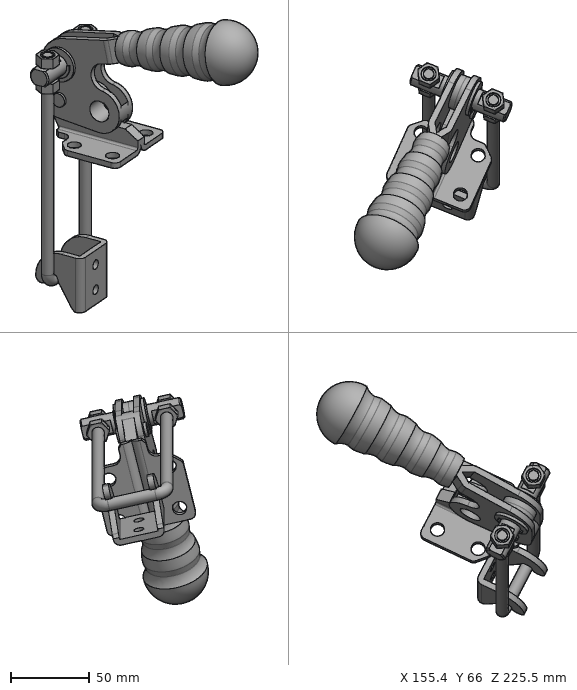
import cadquery as cq
import math


sheet = 4.0
lever_gap = 8.0
lever_half = lever_gap / 2 + sheet

pin_x = 14.0
bar_z = 168.7
rivet_z = 143.5
bolt_z = 19.0
lobe_radius = 13.5

eye_x = 44.0
eye_z = 142.5
eye_radius = 15.0
eye_hole_radius = 7.2
heel_radius = 20.0
throat_radius = 9.7
heel_edge_z = 150.2
arm_above = 8.1
arm_below = 8.3
tang_length = 11.3
tang_half = 4.0
bend_start = -9.5
taper_start = -6.3
taper_half = 7.2
arm_bend_radius = 6.8
taper_end = -1.0
gap_taper_start = -9.5
gap_tip = -2.7

grip_angle = 12.2
grip_x = 58.0
grip_z = 187.8
ring_count = 4
ring_pitch = 19.6
ring_lead = 1.4
ring_radius = 10.5
ring_growth = 2.37
ring_crest = 8.0
ring_bulge = 1.1
bulge_share = 0.7
ring_end = 12.5
groove_rise = 0.2
groove_share = 0.25
ball_radius = 21.2
ball_centre = 78.0

bar_radius = 7.0
bar_length = 66.0
bar_chamfer = 1.0
flat_height = 5.5
flat_start = 13.5
hub_radius = 11.5
washer_radius = 11.7
washer_thickness = 2.0
clip_radius = 9.0
clip_thickness = 1.0

rivet_radius = 4.7
rivet_length = 19.8

rod_radius = 4.0
rod_y = 22.5
bend_radius = 7.0
nut_flats = 13.0
nut_height = 7.0
nut_chamfer_radius = 6.5
nut_chamfer_height = 0.7
recess_outer = 4.7
recess_inner = 3.4
recess_depth = 1.4

web_bottom = 116.5
flange_sheet = lever_gap / 2
flange_half = 29.0
base_right = 70.5
base_left = 10.8
web_lobe_x = 33.8
web_step_z = 132.8
web_nose_x = 60.9
web_nose_z = 126.7
base_bend = 1.5
base_hole_radius = 4.5
base_hole_y = 19.8
base_hole_x = (32.5, 61.5)
base_corner = 4.3
flange_rear_x = 23.7
flange_rear_y = 20.7
flange_bevel_x = 31.3
notch_y = 14.7
notch_x = 18.0
foot_y = 9.0
foot_bevel_x = 13.5
foot_bevel_y = 6.8

catch_right = 36.0
catch_top = 38.5
catch_half = 16.7
catch_tip_radius = 4.5
catch_slot_radius = 3.8
catch_foot_x = 28.5
catch_foot_z = 2.3
catch_foot_end = 30.7
catch_bend = 4.5
catch_hole_radius = 3.2
catch_hole_z = (10.5, 28.5)


def polar(centre, radius, degrees):
    """Point on a circle at an angle measured from +X."""
    a = math.radians(degrees)
    return (centre[0] + radius * math.cos(a), centre[1] + radius * math.sin(a))


def bearing(start, end):
    """Angle of the direction from start to end."""
    return math.degrees(math.atan2(end[1] - start[1], end[0] - start[0]))


def tangent_angle(point, centre, radius, side):
    """Angle on a circle where a line from an outside point touches it."""
    spread = math.degrees(math.acos(radius / math.dist(point, centre)))
    return bearing(centre, point) + side * spread


def arc_to(outline, centre, radius, start, end):
    """Extend an outline by the arc between two angles of a circle."""
    return outline.threePointArc(polar(centre, radius, (start + end) / 2), polar(centre, radius, end))


def cross_cylinder(x, z, radius, length):
    """Cylinder along Y, centred on the symmetry plane."""
    return cq.Workplane("XZ", origin=(x, 0, z)).circle(radius).extrude(length / 2, both=True)


def along_grip(shape):
    """Move a shape built along +X from the origin onto the tilted grip axis."""
    return shape.rotate((0, 0, 0), (0, 1, 0), -grip_angle).translate((grip_x, 0, grip_z))


def mirrored(shape):
    return shape.union(shape.mirror("XZ"))


rivet = (pin_x, rivet_z)
eye = (eye_x, eye_z)
normal_angle = 90 + grip_angle


def grip_point(distance, offset):
    """Point in the XZ plane given along and across the grip axis."""
    return polar(polar((grip_x, grip_z), distance, grip_angle), offset, normal_angle)


def make_lever():
    slope = math.radians(grip_angle)
    heel_drop = (heel_radius - grip_x) * math.tan(slope)
    heel = (heel_radius, grip_z + heel_drop + (arm_above - heel_radius) / math.cos(slope))

    throat_offset = -(arm_below + throat_radius)
    foot = grip_point(0, throat_offset)
    to_eye = (eye[0] - foot[0], eye[1] - foot[1])
    along = to_eye[0] * math.cos(slope) + to_eye[1] * math.sin(slope)
    across = to_eye[1] * math.cos(slope) - to_eye[0] * math.sin(slope)
    reach = math.sqrt((eye_radius + throat_radius) ** 2 - across ** 2)
    throat = grip_point(along + reach, throat_offset)
    to_throat = bearing(eye, throat)

    heel_edge = (0, heel_edge_z)
    rear_angle = tangent_angle(heel_edge, rivet, lobe_radius, 1) % 360
    centres = math.dist(rivet, eye)
    under_angle = 270 + bearing(rivet, eye)
    under_angle -= math.degrees(math.asin((eye_radius - lobe_radius) / centres))

    outline = cq.Workplane("XZ").moveTo(*heel_edge).lineTo(0, heel[1])
    outline = arc_to(outline, heel, heel_radius, 180, normal_angle)
    outline = outline.lineTo(*grip_point(tang_length, arm_above))
    outline = outline.lineTo(*grip_point(tang_length, -arm_below))
    outline = outline.lineTo(*polar(throat, throat_radius, normal_angle))
    outline = arc_to(outline, throat, throat_radius, normal_angle, to_throat + 180)
    outline = arc_to(outline, eye, eye_radius, to_throat, under_angle - 360)
    outline = outline.lineTo(*polar(rivet, lobe_radius, under_angle))
    outline = arc_to(outline, rivet, lobe_radius, under_angle, rear_angle)
    lever = outline.close().extrude(lever_half, both=True)

    far = 2 * grip_x
    gap = (
        cq.Workplane("XY")
        .polyline([(-far, -lever_gap / 2), (gap_taper_start, -lever_gap / 2), (gap_tip, 0),
                   (gap_taper_start, lever_gap / 2), (-far, lever_gap / 2)])
        .close().extrude(arm_below + arm_above, both=True)
    )
    lower_gap = cq.Workplane("XY").box(far, lever_gap, bar_z, centered=(True, True, False))
    taper = mirrored(
        cq.Workplane("XY")
        .moveTo(tang_length, lever_half).lineTo(bend_start, lever_half)
        .radiusArc((taper_start, taper_half), arm_bend_radius)
        .lineTo(taper_end, tang_half).lineTo(tang_length, tang_half)
        .close().extrude(arm_below + arm_above, both=True)
    )
    eye_hole = cross_cylinder(eye_x, eye_z, eye_hole_radius, 2 * lever_half)
    return lever.cut(along_grip(gap)).cut(lower_gap).cut(along_grip(taper)).cut(eye_hole)


def make_grip():
    outline = cq.Workplane("XY").moveTo(0, 0).lineTo(0, ring_radius)
    for ring in range(ring_count):
        start = ring * ring_pitch - ring_lead
        radius = ring_radius + ring * ring_growth
        crest = radius + ring_bulge
        outline = outline.threePointArc(
            (start + ring_crest / 2, radius + bulge_share * ring_bulge), (start + ring_crest, crest))
        groove = radius + groove_rise
        outline = outline.lineTo(start + ring_end, groove)
        next_start = start + ring_pitch
        next_radius = radius + ring_growth
        if ring == ring_count - 1:
            next_radius = math.sqrt(ball_radius ** 2 - (ball_centre - next_start) ** 2)
        outline = outline.threePointArc(
            ((start + ring_end + next_start) / 2, groove + groove_share * (next_radius - groove)),
            (next_start, next_radius))
    outline = outline.threePointArc(
        polar((ball_centre, 0), ball_radius, 45), (ball_centre + ball_radius, 0))
    return along_grip(outline.close().revolve(360, (0, 0, 0), (1, 0, 0)))


def make_crossbar():
    bar = cross_cylinder(pin_x, bar_z, bar_radius, bar_length).faces("<Y or >Y").chamfer(bar_chamfer)
    flat_length = bar_length / 2 - flat_start
    flat = cq.Workplane("XY").box(2 * bar_radius, flat_length, bar_radius, centered=(True, False, False))
    for level in (flat_height, -flat_height - bar_radius):
        bar = bar.cut(mirrored(flat.translate((pin_x, flat_start, bar_z + level))))
    washer_half = lever_half + washer_thickness
    hub = cross_cylinder(pin_x, bar_z, hub_radius, 2 * lever_half)
    washers = cross_cylinder(pin_x, bar_z, washer_radius, 2 * washer_half)
    washers = washers.cut(cross_cylinder(pin_x, bar_z, washer_radius, 2 * lever_half))
    clips = cross_cylinder(pin_x, bar_z, clip_radius, 2 * (washer_half + clip_thickness))
    clips = clips.cut(cross_cylinder(pin_x, bar_z, clip_radius, 2 * washer_half))
    opening = (
        cq.Workplane("XY").box(2 * clip_radius, bar_length, clip_radius, centered=(True, True, False))
        .rotate((0, 0, 0), (0, 1, 0), -grip_angle).translate((pin_x, 0, bar_z))
    )
    return bar.union(hub).union(washers).union(clips.cut(opening))


def make_u_bolt():
    nut_top = bar_z + flat_height + nut_height
    inner_y = rod_y - bend_radius
    corner = polar((inner_y, bolt_z + bend_radius), bend_radius, -45)
    path = (
        cq.Workplane("YZ", origin=(pin_x, 0, 0))
        .moveTo(rod_y, nut_top).lineTo(rod_y, bolt_z + bend_radius)
        .threePointArc(corner, (inner_y, bolt_z)).lineTo(-inner_y, bolt_z)
        .threePointArc((-corner[0], corner[1]), (-rod_y, bolt_z + bend_radius))
        .lineTo(-rod_y, nut_top)
    )
    rod = cq.Workplane("XY", origin=(pin_x, rod_y, nut_top)).circle(rod_radius).sweep(path)

    nut = cq.Workplane("XY").polygon(6, nut_flats, circumscribed=True).extrude(nut_height)
    cone = (
        cq.Workplane("XY").circle(nut_chamfer_radius + nut_height).extrude(nut_height)
        .faces("<Z or >Z").chamfer(nut_chamfer_height, nut_height)
    )
    nut = nut.intersect(cone)
    recess = cq.Workplane("XY").circle(recess_outer).circle(recess_inner).extrude(recess_depth)
    for y in (-rod_y, rod_y):
        for level in (flat_height, -flat_height - nut_height):
            rod = rod.union(nut.translate((pin_x, y, bar_z + level)))
        rod = rod.cut(recess.translate((pin_x, y, nut_top - recess_depth)))
    return rod


def make_base():
    left_foot = (base_left, web_bottom + flange_sheet)
    rear_angle = tangent_angle(left_foot, rivet, lobe_radius, -1)
    corner = (web_lobe_x, rivet_z)
    web = cq.Workplane("XZ").moveTo(base_left, web_bottom).lineTo(*left_foot)
    web = web.lineTo(*polar(rivet, lobe_radius, rear_angle))
    web = arc_to(web, rivet, lobe_radius, rear_angle % 360, 90)
    web = web.lineTo(web_lobe_x, rivet_z + lobe_radius)
    web = arc_to(web, corner, lobe_radius, 90, 0)
    web = (
        web.lineTo(web_lobe_x + lobe_radius, web_step_z).lineTo(web_nose_x, web_step_z)
        .lineTo(base_right, web_nose_z).lineTo(base_right, web_bottom)
        .close().extrude(lever_gap / 2, both=True)
    )
    web = web.cut(cross_cylinder(eye_x, eye_z, eye_hole_radius, lever_gap))

    flange = (
        cq.Workplane("XY", origin=(0, 0, web_bottom))
        .moveTo(base_left, 0).lineTo(base_left, foot_bevel_y)
        .lineTo(foot_bevel_x, foot_y).lineTo(notch_x, foot_y)
        .tangentArcPoint((flange_rear_x, notch_y), relative=False).lineTo(flange_rear_x, flange_rear_y)
        .lineTo(flange_bevel_x, flange_half).lineTo(base_right, flange_half).lineTo(base_right, 0)
        .close().extrude(flange_sheet)
    )
    outer_corners = cq.selectors.BoxSelector(
        (0, base_hole_y, 0), (2 * base_right, 2 * flange_half, bar_z))
    flange = flange.edges("|Z").edges(outer_corners).fillet(base_corner)
    holes = [(x, base_hole_y) for x in base_hole_x]
    flange = flange.cut(
        cq.Workplane("XY", origin=(0, 0, web_bottom)).pushPoints(holes)
        .circle(base_hole_radius).extrude(flange_sheet))
    base = web.union(mirrored(flange))

    bend_top = web_bottom + flange_sheet
    web_half = lever_gap / 2
    bend_length = base_right - base_left
    inner = (
        cq.Workplane("YZ", origin=(base_left, 0, 0)).moveTo(web_half, bend_top)
        .lineTo(web_half + base_bend, bend_top)
        .radiusArc((web_half, bend_top + base_bend), base_bend).close().extrude(bend_length)
    )
    outer_radius = flange_sheet + base_bend
    outer = (
        cq.Workplane("YZ", origin=(base_left, 0, 0)).moveTo(0, web_bottom)
        .lineTo(outer_radius, web_bottom)
        .radiusArc((0, web_bottom + outer_radius), outer_radius).close().extrude(bend_length)
    )
    return base.union(mirrored(inner)).cut(mirrored(outer))


def make_catch():
    crown = catch_top - bolt_z
    tip = (pin_x - catch_slot_radius - catch_tip_radius, bolt_z)
    left = tip[0] - catch_tip_radius
    outline = cq.Workplane("XZ").moveTo(catch_right, 0).lineTo(catch_right, catch_top)
    outline = outline.lineTo(left + crown, catch_top)
    outline = arc_to(outline, (left + crown, bolt_z), crown, 90, 180)
    outline = arc_to(outline, tip, catch_tip_radius, 180, 360)
    outline = arc_to(outline, (pin_x, bolt_z), catch_slot_radius, 180, 0)
    outline = outline.lineTo(catch_foot_x, catch_foot_z).lineTo(catch_foot_end, 0)
    catch = outline.close().extrude(catch_half, both=True)
    catch = catch.edges("|Z and >X").fillet(catch_bend)
    channel = (
        cq.Workplane("XY").box(catch_right, 2 * (catch_half - sheet), catch_top, centered=(False, True, False))
        .edges("|Z and >X").fillet(catch_bend - sheet).translate((-sheet, 0, 0))
    )
    holes = (
        cq.Workplane("YZ").pushPoints([(0, z) for z in catch_hole_z])
        .circle(catch_hole_radius).extrude(catch_right)
    )
    return catch.cut(channel).cut(holes)


result = (
    make_lever()
    .union(make_grip())
    .union(make_base())
    .union(cross_cylinder(pin_x, rivet_z, rivet_radius, rivet_length))
    .union(make_crossbar())
    .union(make_u_bolt())
    .union(make_catch())
)